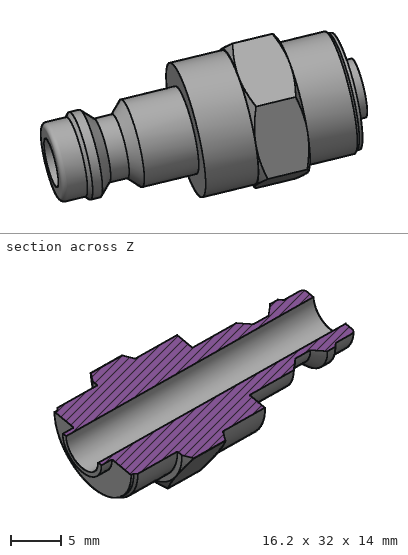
import cadquery as cq
import math

total_length = 32.0

tip_radius = 4.1
tip_rounding = 0.5
plug_radius = 4.5
neck_radius = 3.3
tip_end = 2.55
neck_start = 5.2
neck_end = 7.15
plug_end = 14.0

body_radius = 6.9
hex_across_flats = 14.0
hex_start = 19.5
hex_end = 24.85
hex_chamfer_angle = 30.0
sleeve_radius = 6.3
sleeve_end = 30.0
rim_radius = 6.0
rim_end = 30.62

stub_radius = 3.05
bore_radius = 2.5


def turned_profile():
    """Half section as (radius, Y), revolved about the Y axis."""
    collar_start = tip_end + plug_radius - tip_radius
    collar_end = neck_start - (plug_radius - neck_radius)
    plug_cone_end = neck_end + plug_radius - neck_radius
    rim_start = sleeve_end + sleeve_radius - rim_radius
    rounding_mid = tip_rounding * (1 - math.sqrt(0.5))
    return (
        cq.Workplane("XY")
        .moveTo(0, 0)
        .lineTo(tip_radius - tip_rounding, 0)
        .threePointArc((tip_radius - rounding_mid, rounding_mid), (tip_radius, tip_rounding))
        .lineTo(tip_radius, tip_end)
        .lineTo(plug_radius, collar_start)
        .lineTo(plug_radius, collar_end)
        .lineTo(neck_radius, neck_start)
        .lineTo(neck_radius, neck_end)
        .lineTo(plug_radius, plug_cone_end)
        .lineTo(plug_radius, plug_end)
        .lineTo(body_radius, plug_end)
        .lineTo(body_radius, hex_end)
        .lineTo(sleeve_radius, hex_end)
        .lineTo(sleeve_radius, sleeve_end)
        .lineTo(rim_radius, rim_start)
        .lineTo(rim_radius, rim_end)
        .lineTo(stub_radius, rim_end)
        .lineTo(stub_radius, total_length)
        .lineTo(0, total_length)
        .close()
    )


def hexagon():
    """Hexagon with corners on X, both ends trimmed by shallow cones."""
    flat_radius = hex_across_flats / 2
    corner_radius = flat_radius / math.cos(math.radians(30))
    chamfer_depth = (corner_radius - flat_radius) * math.tan(math.radians(hex_chamfer_angle))
    prism = (
        cq.Workplane("XZ", origin=(0, hex_start, 0))
        .polygon(6, 2 * corner_radius)
        .extrude(hex_start - hex_end)
    )
    trimming_envelope = (
        cq.Workplane("XY")
        .moveTo(0, hex_start)
        .lineTo(flat_radius, hex_start)
        .lineTo(corner_radius, hex_start + chamfer_depth)
        .lineTo(corner_radius, hex_end - chamfer_depth)
        .lineTo(flat_radius, hex_end)
        .lineTo(0, hex_end)
        .close()
        .revolve(360, (0, 0, 0), (0, 1, 0))
    )
    return prism.intersect(trimming_envelope)


turned_body = turned_profile().revolve(360, (0, 0, 0), (0, 1, 0))
bore = cq.Workplane("XZ").circle(bore_radius).extrude(-total_length)
result = turned_body.union(hexagon()).cut(bore)